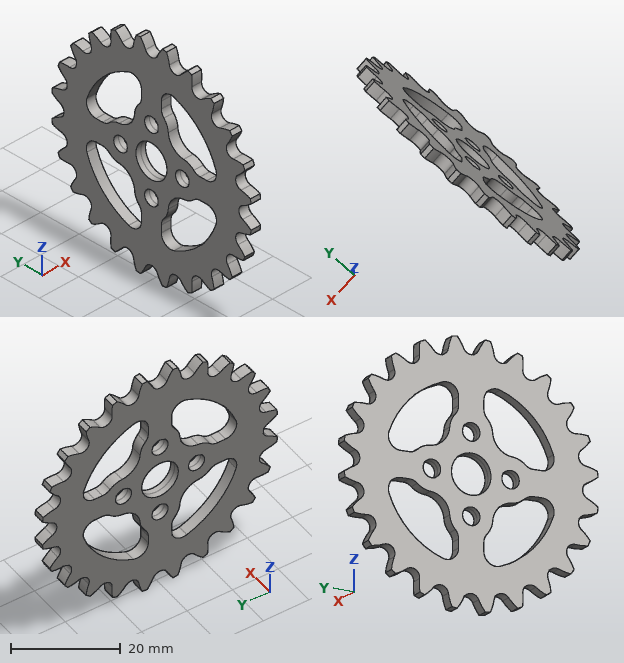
import cadquery as cq
import math

thickness = 2.5

tooth_count = 24
pitch_radius = 24.35
seat_radius = 1.65
seat_half_angle = 65.5
flank_radius = 10.3
tip_radius = 26.0

bore_diameter = 8.0
bolt_hole_diameter = 3.5
bolt_circle_radius = 8.0

spoke_count = 4
spoke_half_width = 2.6
window_outer_radius = 17.75
window_corner_radius = 2.5
boss_radius = 4.4
boss_fillet_radius = 2.5
hub_radius = 7.95

quarter_turn = 90


def polar(radius, angle):
    """Point at an angle in radians."""
    return (radius * math.cos(angle), radius * math.sin(angle))


def point_on_arc(center, radius, toward):
    """Point at a radius from a centre, on the ray toward another point."""
    angle = math.atan2(toward[1] - center[1], toward[0] - center[0])
    dy, dz = polar(radius, angle)
    return (center[0] + dy, center[1] + dz)


def midpoint(a, b):
    return ((a[0] + b[0]) / 2, (a[1] + b[1]) / 2)


def rotate(point, angle):
    return polar(math.hypot(*point), math.atan2(point[1], point[0]) + angle)


def mirror(point):
    """Reflect a point in the first axis."""
    return (point[0], -point[1])


def swap(point):
    """Reflect a point in the diagonal through the centre of a window."""
    return (point[1], point[0])


def toothed_plate():
    seat_end_angle = math.radians(seat_half_angle)
    roller_center = (pitch_radius, 0)
    flank_reach = seat_radius + flank_radius
    flank_center = (
        pitch_radius - flank_reach * math.cos(seat_end_angle),
        flank_reach * math.sin(seat_end_angle),
    )
    seat_end = point_on_arc(roller_center, seat_radius, flank_center)
    seat_bottom = (pitch_radius - seat_radius, 0)

    center_distance = math.hypot(*flank_center)
    tip_offset = math.acos(
        (center_distance**2 + tip_radius**2 - flank_radius**2) / (2 * center_distance * tip_radius)
    )
    tip_start_angle = math.atan2(flank_center[1], flank_center[0]) - tip_offset
    tip_start = polar(tip_radius, tip_start_angle)
    flank_middle = point_on_arc(flank_center, flank_radius, midpoint(seat_end, tip_start))

    tooth_pitch = 2 * math.pi / tooth_count
    tip_middle = polar(tip_radius, tooth_pitch / 2)
    next_tip_end = rotate(mirror(tip_start), tooth_pitch)
    gap_arcs = [
        (mirror(flank_middle), mirror(seat_end)),
        (seat_bottom, seat_end),
        (flank_middle, tip_start),
        (tip_middle, next_tip_end),
    ]

    outline = cq.Workplane("YZ").moveTo(*mirror(tip_start))
    for tooth in range(tooth_count):
        turn = tooth * tooth_pitch
        for through, end in gap_arcs:
            outline = outline.threePointArc(rotate(through, turn), rotate(end, turn))
    return outline.close().extrude(thickness / 2, both=True)


def window():
    corner_height = spoke_half_width + window_corner_radius
    corner_reach = window_outer_radius - window_corner_radius
    corner_center = (math.sqrt(corner_reach**2 - corner_height**2), corner_height)
    corner_angle = math.atan2(corner_center[1], corner_center[0])
    corner_on_spoke = (corner_center[0], spoke_half_width)
    corner_on_rim = polar(window_outer_radius, corner_angle)
    corner_middle = point_on_arc(
        corner_center, window_corner_radius, midpoint(corner_on_spoke, corner_on_rim)
    )

    boss_center = (bolt_circle_radius, 0)
    fillet_height = spoke_half_width + boss_fillet_radius
    fillet_reach = math.sqrt((boss_radius + boss_fillet_radius) ** 2 - fillet_height**2)
    fillet_center = (bolt_circle_radius + fillet_reach, fillet_height)
    fillet_on_spoke = (fillet_center[0], spoke_half_width)
    fillet_on_boss = point_on_arc(boss_center, boss_radius, fillet_center)
    fillet_middle = point_on_arc(
        fillet_center, boss_fillet_radius, midpoint(fillet_on_spoke, fillet_on_boss)
    )

    diagonal = math.radians(quarter_turn / 2)
    along_diagonal = bolt_circle_radius * math.cos(diagonal)
    inner_radius = (
        hub_radius**2 - 2 * hub_radius * along_diagonal + bolt_circle_radius**2 - boss_radius**2
    ) / (2 * (boss_radius - hub_radius + along_diagonal))
    inner_center = polar(hub_radius + inner_radius, diagonal)
    inner_on_boss = point_on_arc(boss_center, boss_radius, inner_center)
    inner_middle = polar(hub_radius, diagonal)
    boss_middle = point_on_arc(boss_center, boss_radius, midpoint(fillet_on_boss, inner_on_boss))

    return (
        cq.Workplane("YZ")
        .moveTo(*fillet_on_spoke)
        .lineTo(*corner_on_spoke)
        .threePointArc(corner_middle, corner_on_rim)
        .threePointArc(polar(window_outer_radius, diagonal), swap(corner_on_rim))
        .threePointArc(swap(corner_middle), swap(corner_on_spoke))
        .lineTo(*swap(fillet_on_spoke))
        .threePointArc(swap(fillet_middle), swap(fillet_on_boss))
        .threePointArc(swap(boss_middle), swap(inner_on_boss))
        .threePointArc(inner_middle, inner_on_boss)
        .threePointArc(boss_middle, fillet_on_boss)
        .threePointArc(fillet_middle, fillet_on_spoke)
        .close()
        .extrude(thickness, both=True)
    )


def hub_holes():
    bore = cq.Workplane("YZ").circle(bore_diameter / 2).extrude(thickness, both=True)
    bolt_holes = (
        cq.Workplane("YZ")
        .polarArray(bolt_circle_radius, 0, 360, spoke_count)
        .circle(bolt_hole_diameter / 2)
        .extrude(thickness, both=True)
    )
    return bore.union(bolt_holes)


result = toothed_plate().cut(hub_holes())
window_cutter = window()
for spoke in range(spoke_count):
    result = result.cut(window_cutter.rotate((0, 0, 0), (1, 0, 0), spoke * quarter_turn))